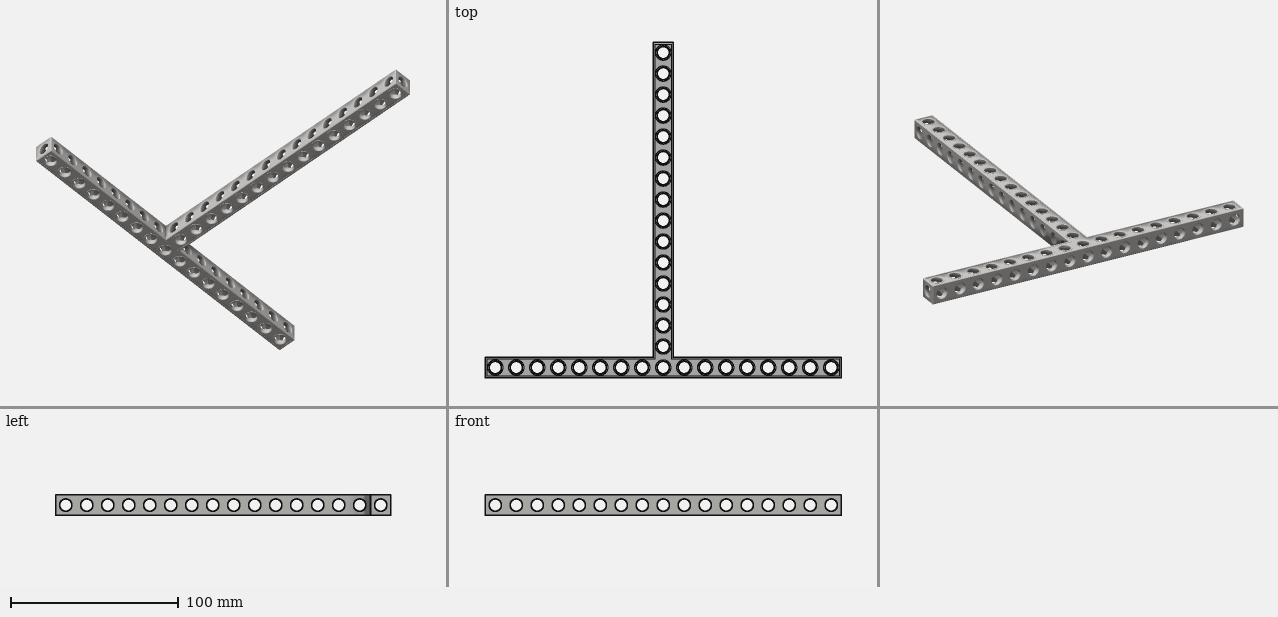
import cadquery as cq

length = 212.5
bar_cells = 17
stem_cells = 16
pitch = length / bar_cells
depth = stem_cells * pitch

hole_diameter = 7.0
collar_diameter = 9.1
edge_chamfer = 0.32
rim_width = 1.3
recess_depth = 0.2

half = pitch / 2
stem_end = depth - half

bar_positions = [(i - bar_cells // 2) * pitch for i in range(bar_cells)]
stem_positions = [i * pitch for i in range(stem_cells)]
vertical_centres = [(x, 0) for x in bar_positions] + [(0, y) for y in stem_positions[1:]]


def tee(inset, height):
    """T-shaped plate centred on Z = 0, with its outline moved inward by the inset."""
    width = pitch - 2 * inset
    crossbar = cq.Workplane("XY").box(length - 2 * inset, width, height)
    stem = cq.Workplane("XY").box(width, depth - 2 * inset, height)
    return crossbar.union(stem.translate((0, (depth - pitch) / 2, 0)))


def beam_body():
    """Solid T with all edges chamfered except the two inner corners where stem and crossbar meet."""
    inner_corners = cq.selectors.BoxSelector((-pitch, 0, -half / 2), (pitch, pitch, half / 2))
    outer_edges = cq.selectors.InverseSelector(inner_corners)
    return tee(0, pitch).edges(outer_edges).chamfer(edge_chamfer)


def recess():
    """Cutter for one face: the inset T with a solid ring left around each vertical hole."""
    collars = (
        cq.Workplane("XY")
        .pushPoints(vertical_centres)
        .circle(collar_diameter / 2)
        .extrude(recess_depth, both=True)
    )
    return tee(rim_width, 2 * recess_depth).cut(collars)


def hole(start, end):
    """Round hole cutter between two points on outer faces, widened by a chamfer at both mouths."""
    start = cq.Vector(*start)
    end = cq.Vector(*end)
    axis = (end - start).normalized()
    radius = hole_diameter / 2
    cutter = cq.Workplane(cq.Solid.makeCylinder(radius, (end - start).Length, start, axis))
    for mouth, inward in ((start, axis), (end, axis * -1)):
        cone = cq.Solid.makeCone(radius + edge_chamfer, radius, edge_chamfer, mouth, inward)
        cutter = cutter.union(cq.Workplane(cone))
    return cutter


result = beam_body()
for face_height in (half, -half):
    result = result.cut(recess().translate((0, 0, face_height)))

for x, y in vertical_centres:
    result = result.cut(hole((x, y, -half), (x, y, half)))

for x in bar_positions:
    far_face = stem_end if x == 0 else half
    result = result.cut(hole((x, -half, 0), (x, far_face, 0)))

for y in stem_positions:
    side_face = length / 2 if y == 0 else half
    result = result.cut(hole((-side_face, y, 0), (side_face, y, 0)))